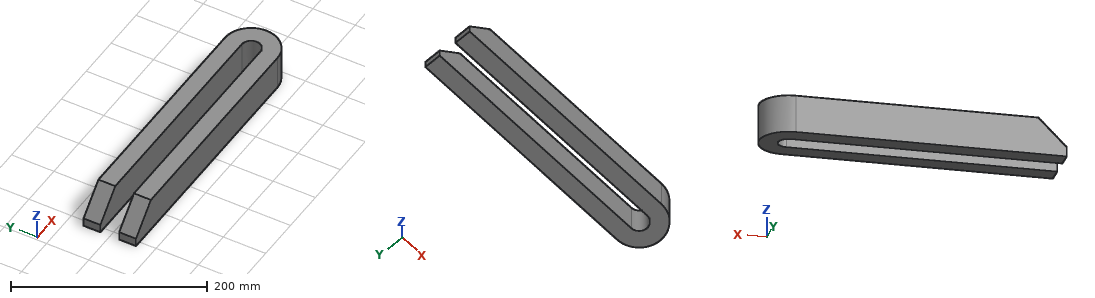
import cadquery as cq

length = 315.0
width = 62.0
height = 40.0

slot_width = 22.0
bevel = 30.0

bend_radius = width / 2
slot_radius = slot_width / 2
bend_center_x = length - bend_radius


def round_ended_bar(radius):
    """Full-height bar from the leg tips to a half-round end about the bend centre."""
    return (
        cq.Workplane("XY")
        .moveTo(0, -radius)
        .lineTo(bend_center_x, -radius)
        .threePointArc((bend_center_x + radius, 0), (bend_center_x, radius))
        .lineTo(0, radius)
        .close()
        .extrude(height)
    )


clamp = round_ended_bar(bend_radius).cut(round_ended_bar(slot_radius))

tip_wedge = (
    cq.Workplane("XZ")
    .moveTo(0, height)
    .lineTo(bevel, height)
    .lineTo(0, height - bevel)
    .close()
    .extrude(bend_radius, both=True)
)

result = clamp.cut(tip_wedge)